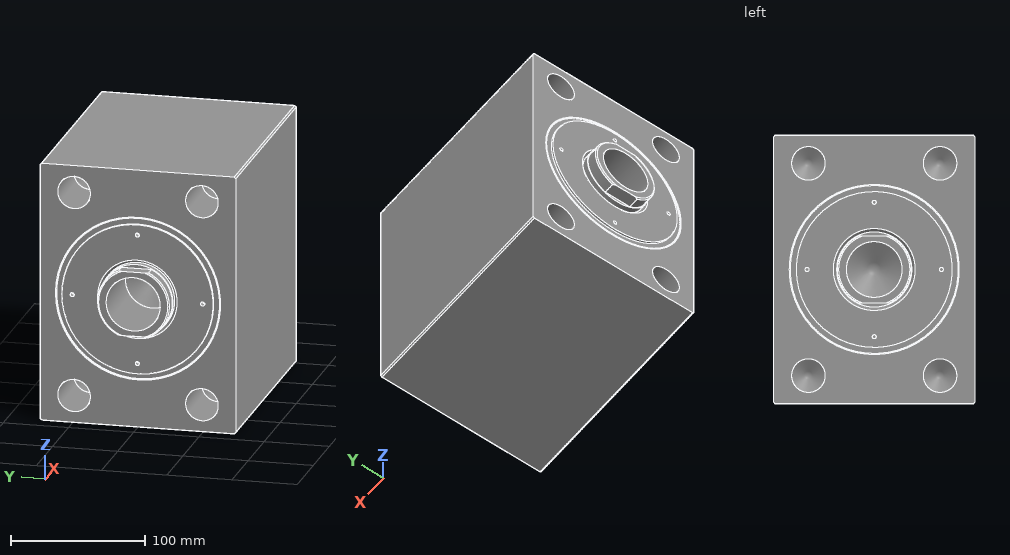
import cadquery as cq
import math


housing_length = 188.0
housing_width = 150.0
housing_height = 200.0
edge_chamfer = 1.2

mount_diameter = 25.0
mount_spacing_y = 98.0
mount_spacing_z = 158.0
mount_depth = 50.0

gland_diameter = 125.0
gland_depth = 30.0
gland_face_diameter = 116.0
gland_face_height = 2.0
gland_bore_chamfer = 0.8
pin_hole_diameter = 3.0
pin_hole_circle = 100.0
pin_hole_count = 4
pin_hole_depth = 6.0
wiper_diameter = 61.0
wiper_depth = 2.5

rod_diameter = 56.0
rod_projection = 15.0
rod_nose_diameter = 55.0
rod_nose_length = 10.0
rod_nose_chamfer = 1.0
flats_width = 50.0
rod_bore_diameter = 41.5
rod_bore_depth = 60.0
rod_wall_behind_bore = 20.0

drill_point_angle = 118.0


def x_cylinder(diameter, start, end):
    """Solid cylinder on the X axis between two X positions."""
    return cq.Workplane("YZ", origin=(start, 0, 0)).circle(diameter / 2).extrude(end - start)


def x_cone(start_diameter, end_diameter, start, end):
    """Solid cone frustum on the X axis, with its diameters at the two ends."""
    profile = [(start, 0), (start, start_diameter / 2), (end, end_diameter / 2), (end, 0)]
    return cq.Workplane("XY").polyline(profile).close().revolve(360, (0, 0, 0), (1, 0, 0))


def drilled_hole(diameter, start, depth):
    """Blind hole along +X with a conical drill point beyond its full-diameter depth."""
    radius = diameter / 2
    bottom = start + depth
    point = bottom + radius / math.tan(math.radians(drill_point_angle / 2))
    profile = [(start, 0), (start, radius), (bottom, radius), (point, 0)]
    return cq.Workplane("XY").polyline(profile).close().revolve(360, (0, 0, 0), (1, 0, 0))


rod_tip = -rod_projection
rod_point_height = rod_bore_diameter / 2 / math.tan(math.radians(drill_point_angle / 2))
rod_end = rod_tip + rod_bore_depth + rod_point_height + rod_wall_behind_bore
gland_front = -gland_face_height


def make_housing():
    block = (
        cq.Workplane("XY")
        .box(housing_length, housing_width, housing_height, centered=(False, True, True))
        .edges("|X")
        .chamfer(edge_chamfer)
    )
    for side_y in (-1, 1):
        for side_z in (-1, 1):
            hole = drilled_hole(mount_diameter, 0, mount_depth)
            block = block.cut(hole.translate((0, side_y * mount_spacing_y / 2, side_z * mount_spacing_z / 2)))
    block = block.cut(x_cylinder(gland_diameter, 0, gland_depth))
    block = block.cut(x_cone(gland_diameter + 2 * gland_bore_chamfer, gland_diameter, 0, gland_bore_chamfer))
    return block.cut(x_cylinder(rod_diameter, 0, rod_end))


def make_gland():
    gland = x_cylinder(gland_diameter, 0, gland_depth)
    gland = gland.union(x_cylinder(gland_face_diameter, gland_front, gland_depth))
    gland = gland.cut(x_cylinder(rod_diameter, gland_front, gland_depth))
    gland = gland.cut(x_cone(wiper_diameter, rod_diameter, gland_front, gland_front + wiper_depth))
    for index in range(pin_hole_count):
        hole = x_cylinder(pin_hole_diameter, gland_front, gland_front + pin_hole_depth)
        hole = hole.translate((0, pin_hole_circle / 2, 0))
        gland = gland.cut(hole.rotate((0, 0, 0), (1, 0, 0), index * 360 / pin_hole_count))
    return gland


def make_rod():
    nose_end = rod_tip + rod_nose_length
    nose = x_cylinder(rod_nose_diameter, rod_tip, nose_end).faces("<X").chamfer(rod_nose_chamfer)
    waste_height = rod_nose_diameter - flats_width
    for side in (-1, 1):
        waste = cq.Workplane("XY").box(
            rod_nose_length, rod_nose_diameter, waste_height, centered=(False, True, True)
        )
        waste_center = side * (flats_width + waste_height) / 2
        nose = nose.cut(waste.translate((rod_tip, 0, waste_center)))
    rod = nose.union(x_cylinder(rod_diameter, nose_end, rod_end))
    return rod.cut(drilled_hole(rod_bore_diameter, rod_tip, rod_bore_depth))


housing = make_housing()
gland = make_gland()
rod = make_rod()
result = cq.Compound.makeCompound([housing.val(), gland.val(), rod.val()])